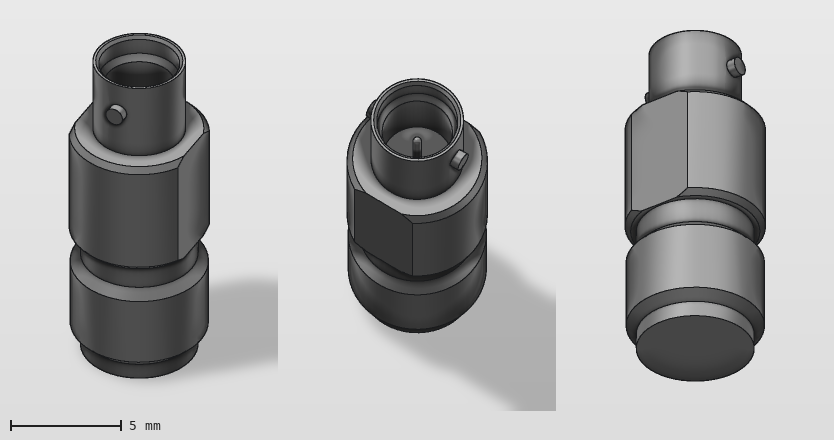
import cadquery as cq

total_height = 15.88
collar_bottom = 0.78
collar_top = 5.11
body_bottom = 6.35
body_top = 12.1

neck_radius = 2.67
collar_radius = 3.13
collar_bevel = collar_radius - neck_radius
body_radius = 3.18
body_bevel_width = 0.25
body_bevel_height = 0.27
flat_width = 5.53
barrel_radius = 2.1

lug_diameter = 0.84
lug_span = 4.97
lug_height = 14.37

lead_in_radius = 1.97
mouth_radius = 1.83
bore_radius = 1.59
lead_in_depth = lead_in_radius - mouth_radius
mouth_depth = 0.92
taper_depth = 0.3
socket_floor = body_top

contact_radius = 0.19
contact_top = 13.97


def stepped_solid(radius_height_pairs):
    """Revolve an outline around Z, closed along the axis at both ends."""
    bottom = radius_height_pairs[0][1]
    top = radius_height_pairs[-1][1]
    outline = [(0, bottom), *radius_height_pairs, (0, top)]
    return cq.Workplane("XZ").polyline(outline).close().revolve(360, (0, 0, 0), (0, 1, 0))


def make_collar_and_neck():
    return stepped_solid([
        (neck_radius, 0),
        (neck_radius, collar_bottom),
        (collar_radius, collar_bottom + collar_bevel),
        (collar_radius, collar_top - collar_bevel),
        (neck_radius, collar_top),
        (neck_radius, body_bottom),
    ])


def make_body():
    """Bevelled cylinder with two wrench flats facing +X and -X."""
    rim_radius = body_radius - body_bevel_width
    round_body = stepped_solid([
        (rim_radius, body_bottom),
        (body_radius, body_bottom + body_bevel_height),
        (body_radius, body_top - body_bevel_height),
        (rim_radius, body_top),
    ])
    between_flats = cq.Workplane("XY").box(flat_width, 3 * body_radius, 2 * total_height)
    return round_body.intersect(between_flats)


def make_barrel():
    return stepped_solid([(barrel_radius, body_top), (barrel_radius, total_height)])


def make_lugs():
    """One cross bar along Y; the socket later removes its middle."""
    return (
        cq.Workplane("XZ")
        .center(0, lug_height)
        .circle(lug_diameter / 2)
        .extrude(lug_span / 2, both=True)
    )


def make_socket():
    mouth_bottom = total_height - mouth_depth
    return stepped_solid([
        (bore_radius, socket_floor),
        (bore_radius, mouth_bottom - taper_depth),
        (mouth_radius, mouth_bottom),
        (mouth_radius, total_height - lead_in_depth),
        (lead_in_radius, total_height),
    ])


def make_contact():
    dome_centre = contact_top - contact_radius
    shaft = stepped_solid([(contact_radius, body_bottom), (contact_radius, dome_centre)])
    dome = cq.Workplane("XY").sphere(contact_radius).translate((0, 0, dome_centre))
    return shaft.union(dome)


outside = make_collar_and_neck().union(make_body()).union(make_barrel()).union(make_lugs())
result = outside.cut(make_socket()).union(make_contact())